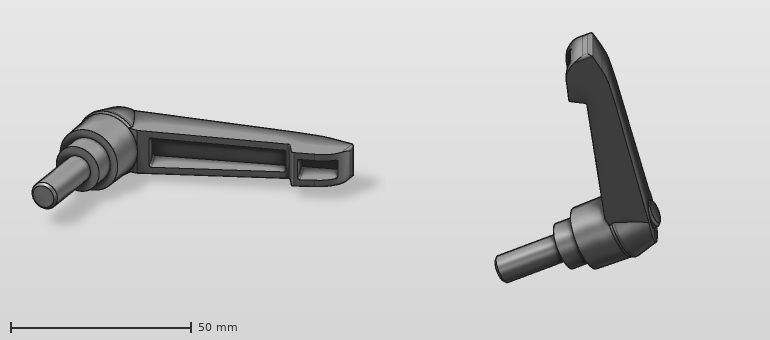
import cadquery as cq
import math


STUD_RADIUS = 4.0
STUD_LENGTH = 20.0
STUD_TOP_Y = 28.32
STUD_CHAMFER = 0.75

COLLAR_RADIUS = 13.5 / 2
COLLAR_HEIGHT = 6.5
HUB_BOTTOM_RADIUS = 9.1
HUB_TOP_RADIUS = 9.38
HUB_TOP_Y = 17.4
RIM_RADIUS = 9.745
RIM_LOWER_Y = 18.3
RIM_UPPER_Y = 19.0
DOME_TOP_Y = 30.0
DOME_SLOPE = 0.275

TIP_X = 65.005
TIP_TOP_Y = 41.55
TOP_ANGLE = 15.0
TOP_LINE_END = (44.0, 38.8)
TOP_CURVE_JOINT = (53.2, 41.0)
TOP_FLAT_START_X = 58.3
TOP_CORNER_RADIUS = 1.2
TIP_ARC_START_Y = 38.8
TIP_ARC_MID = (63.2, 34.0)
TIP_ARC_END = (58.2, 30.45)
BEAK = (52.3, 28.1)
BEAK_RADIUS = 0.8
NOTCH = (49.5, 32.2)
NOTCH_RADIUS = 0.6
UNDERSIDE_START_X = 9.35

ROOT_HALF_THICKNESS = 6.92
TAPER = 0.033
TIP_PLAN_RADIUS = 0.9

POCKET_WALL = 2.0
POCKET_CORNER_RADIUS = 0.6
POCKET_MOUTH_CLEARANCE = 1.0
POCKET_ROOF = 3.8
MAIN_POCKET_X = (12.5, 48.5)
TIP_POCKET_START = (53.85, 28.8)
TIP_POCKET_END = (63.4, 34.6)


def half_thickness(x):
    """Half of the lever's thickness along Z at a given X."""
    return ROOT_HALF_THICKNESS - TAPER * x


def top_line_y(x):
    """Height of the sloping plane that tops both the hub and the lever."""
    return TOP_LINE_END[1] + math.tan(math.radians(TOP_ANGLE)) * (x - TOP_LINE_END[0])


def make_space_below_top(depth):
    """Block filling everything more than `depth` below the sloping top plane."""
    drop = depth / math.cos(math.radians(TOP_ANGLE))
    left = -2 * RIM_RADIUS
    right = 2 * TIP_X
    return (
        cq.Workplane("XY")
        .polyline([
            (left, top_line_y(left) - drop),
            (right, top_line_y(right) - drop),
            (right, -STUD_LENGTH),
            (left, -STUD_LENGTH),
        ])
        .close()
        .extrude(2 * RIM_RADIUS, both=True)
    )


def make_hub():
    """Collar, tapered hub, rim and conical dome, cut off by the sloping top plane."""
    dome_top_radius = RIM_RADIUS - DOME_SLOPE * (DOME_TOP_Y - RIM_UPPER_Y)
    body = (
        cq.Workplane("XY")
        .lineTo(COLLAR_RADIUS, 0)
        .lineTo(COLLAR_RADIUS, COLLAR_HEIGHT)
        .lineTo(HUB_BOTTOM_RADIUS, COLLAR_HEIGHT)
        .lineTo(HUB_TOP_RADIUS, HUB_TOP_Y)
        .lineTo(RIM_RADIUS, RIM_LOWER_Y)
        .lineTo(RIM_RADIUS, RIM_UPPER_Y)
        .lineTo(dome_top_radius, DOME_TOP_Y)
        .lineTo(0, DOME_TOP_Y)
        .close()
        .revolve(360, (0, 0, 0), (0, 1, 0))
    )
    return body.intersect(make_space_below_top(0))


def make_stud():
    """Stud running through the hub, chamfered at both ends."""
    return (
        cq.Workplane("XZ", origin=(0, STUD_TOP_Y, 0))
        .circle(STUD_RADIUS)
        .extrude(STUD_TOP_Y + STUD_LENGTH)
        .faces("<Y or >Y")
        .chamfer(STUD_CHAMFER)
    )


def edge_at(body, point):
    """Edge along Z that passes nearest to a point of the XY outline."""
    return body.edges("|Z").edges(cq.selectors.NearestToPointSelector((*point, 0)))


def make_lever():
    """Side outline of the lever, trimmed to its tapered plan."""
    profile = (
        cq.Workplane("XY", origin=(0, 0, -ROOT_HALF_THICKNESS))
        .moveTo(0, HUB_TOP_Y)
        .lineTo(0, top_line_y(0))
        .lineTo(*TOP_LINE_END)
        .tangentArcPoint(TOP_CURVE_JOINT, relative=False)
        .tangentArcPoint((TOP_FLAT_START_X, TIP_TOP_Y), relative=False)
        .lineTo(TIP_X, TIP_TOP_Y)
        .lineTo(TIP_X, TIP_ARC_START_Y)
        .threePointArc(TIP_ARC_MID, TIP_ARC_END)
        .lineTo(*BEAK)
        .lineTo(*NOTCH)
        .lineTo(UNDERSIDE_START_X, HUB_TOP_Y)
        .close()
        .extrude(2 * ROOT_HALF_THICKNESS)
    )
    profile = edge_at(profile, (TIP_X, TIP_TOP_Y)).fillet(TOP_CORNER_RADIUS)
    profile = edge_at(profile, BEAK).fillet(BEAK_RADIUS)
    profile = edge_at(profile, NOTCH).fillet(NOTCH_RADIUS)

    plan = (
        cq.Workplane("XZ")
        .polyline([
            (0, -half_thickness(0)),
            (TIP_X, -half_thickness(TIP_X)),
            (TIP_X, half_thickness(TIP_X)),
            (0, half_thickness(0)),
        ])
        .close()
        .extrude(-TIP_TOP_Y)
        .edges("|Y and >X")
        .fillet(TIP_PLAN_RADIUS)
    )
    return profile.intersect(plan)


def underside_slope():
    """Slope of the lever's underside between the hub and the notch."""
    return (NOTCH[1] - HUB_TOP_Y) / (NOTCH[0] - UNDERSIDE_START_X)


def underside_point(x):
    """Point of the underside line at a given X."""
    return x, HUB_TOP_Y + underside_slope() * (x - UNDERSIDE_START_X)


def make_pocket(start, end):
    """Tapered pocket cutter, square to the underside.

    Its end walls pass through `start` and `end`, and its floor is parallel to the top plane.
    """
    tilt = math.atan(underside_slope())
    along = cq.Vector(math.cos(tilt), math.sin(tilt), 0)
    inward = cq.Vector(-math.sin(tilt), math.cos(tilt), 0)
    near_end = cq.Vector(*start, 0)
    far_end = cq.Vector(*end, 0)
    length = (far_end - near_end).dot(along)
    start_half_width = half_thickness(start[0]) - POCKET_WALL
    end_half_width = half_thickness(end[0]) - POCKET_WALL
    frame = cq.Plane(origin=near_end - inward * POCKET_MOUTH_CLEARANCE, xDir=along, normal=inward)
    walls = (
        cq.Workplane(frame)
        .polyline([
            (0, -start_half_width),
            (length, -end_half_width),
            (length, end_half_width),
            (0, start_half_width),
        ])
        .close()
        .extrude(TIP_TOP_Y)
        .edges(cq.selectors.ParallelDirSelector(inward))
        .fillet(POCKET_CORNER_RADIUS)
    )
    return walls.intersect(make_space_below_top(POCKET_ROOF))


main_pocket = make_pocket(*map(underside_point, MAIN_POCKET_X))
tip_pocket = make_pocket(TIP_POCKET_START, TIP_POCKET_END)
lever = make_lever().cut(main_pocket).cut(tip_pocket)

result = make_hub().union(lever).union(make_stud()).clean()